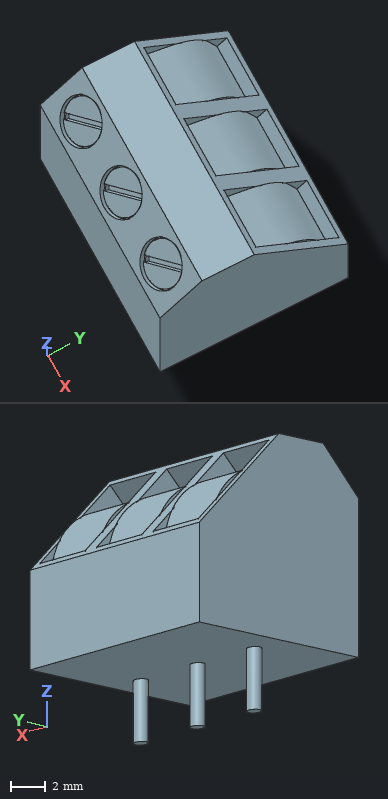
import cadquery as cq
import math

pole_count = 3
pole_pitch = 5.0
length = 15.0
width = 12.5
total_height = 16.3
body_height = 12.5

slope_angle = 46.0
back_slope_run = 6.25
front_slope_run = 2.79

pin_size_x = 1.0
pin_size_y = 0.82
pin_from_front = 6.0

screw_hole_diameter = 3.2
screw_head_diameter = 3.0
screw_recess = 0.2
screw_gap_depth = 0.2
slot_width = 0.4
slot_depth = 0.5
slot_angle = 45.0

pocket_size_x = 4.01
pocket_span = 7.92
pocket_depth = 1.63
crown_radius = 4.56
crown_rise = 0.2
crown_offset = 0.54
crown_half_angle = 24.6

pin_length = total_height - body_height
tilt = math.radians(slope_angle)
back_y = width / 2
front_y = -width / 2
top_z = total_height
bottom_z = pin_length
back_shoulder_z = top_z - back_slope_run * math.tan(tilt)
front_shoulder_z = top_z - front_slope_run * math.tan(tilt)
pole_xs = [(i - (pole_count - 1) / 2) * pole_pitch for i in range(pole_count)]


def make_body():
    profile = [
        (front_y, bottom_z),
        (front_y, front_shoulder_z),
        (front_y + front_slope_run, top_z),
        (back_y - back_slope_run, top_z),
        (back_y, back_shoulder_z),
        (back_y, bottom_z),
    ]
    return cq.Workplane("YZ").polyline(profile).close().extrude(length / 2, both=True)


def make_pin(x):
    pin_y = front_y + pin_from_front
    return (
        cq.Workplane("XY")
        .center(x, pin_y)
        .ellipse(pin_size_x / 2, pin_size_y / 2)
        .extrude(pin_length)
    )


def front_slope_plane(x):
    """Plane centred on the front slope, with its normal pointing outward."""
    origin = (x, front_y + front_slope_run / 2, (top_z + front_shoulder_z) / 2)
    return cq.Plane(origin=origin, xDir=(1, 0, 0), normal=(0, -math.sin(tilt), math.cos(tilt)))


def make_screw_cut(x):
    """Recess above the screw head, the thin gap around the head and its driver slot."""
    hole_floor = -(screw_recess + screw_gap_depth)
    slot_floor = -(screw_recess + slot_depth)
    surface = cq.Workplane(front_slope_plane(x))
    hole = surface.circle(screw_hole_diameter / 2).extrude(hole_floor)
    head_zone = (
        surface.workplane(offset=slot_floor)
        .circle(screw_head_diameter / 2)
        .extrude(slot_depth)
    )
    slot = (
        surface.workplane(offset=slot_floor)
        .transformed(rotate=(0, 0, slot_angle))
        .rect(screw_head_diameter, slot_width)
        .extrude(slot_depth)
        .intersect(head_zone)
    )
    return hole.cut(head_zone).union(slot)


def back_slope_section(x):
    """Section plane across the back slope: local X runs up the slope, local Y points outward."""
    origin = (x, back_y - back_slope_run / 2, (top_z + back_shoulder_z) / 2)
    up_slope = (0, -math.cos(tilt), math.sin(tilt))
    return cq.Workplane(cq.Plane(origin=origin, xDir=up_slope, normal=(-1, 0, 0)))


def make_pocket(x):
    return (
        back_slope_section(x)
        .center(0, -pocket_depth / 2)
        .rect(pocket_span, pocket_depth)
        .extrude(pocket_size_x / 2, both=True)
    )


def make_clamp(x):
    """Clamp filling the pocket: a crown arc with a tangent flat falling away on either side."""
    half_span = pocket_span / 2
    half_angle = math.radians(crown_half_angle)
    arc_half_chord = crown_radius * math.sin(half_angle)
    arc_end_height = crown_rise - crown_radius * (1 - math.cos(half_angle))
    arc_start = -crown_offset - arc_half_chord
    arc_end = -crown_offset + arc_half_chord
    lower_flat_height = arc_end_height - (arc_start + half_span) * math.tan(half_angle)
    upper_flat_height = arc_end_height - (half_span - arc_end) * math.tan(half_angle)
    return (
        back_slope_section(x)
        .moveTo(-half_span, -pocket_depth)
        .lineTo(-half_span, lower_flat_height)
        .lineTo(arc_start, arc_end_height)
        .threePointArc((-crown_offset, crown_rise), (arc_end, arc_end_height))
        .lineTo(half_span, upper_flat_height)
        .lineTo(half_span, -pocket_depth)
        .close()
        .extrude(pocket_size_x / 2, both=True)
    )


result = make_body()
for x in pole_xs:
    result = result.union(make_pin(x))
    result = result.cut(make_screw_cut(x))
    result = result.cut(make_pocket(x))
    result = result.union(make_clamp(x))